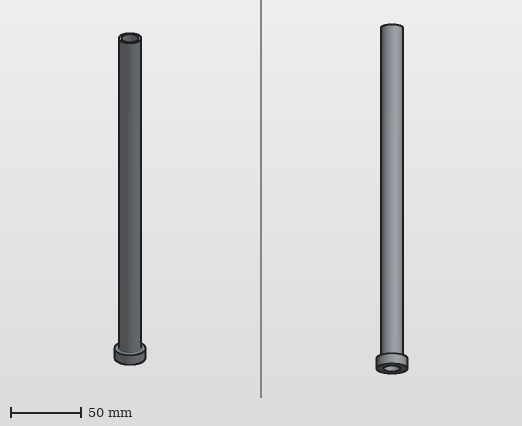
import cadquery as cq

total_length = 257.0
head_diameter = 22.0
head_height = 7.7
tube_diameter = 16.0
bore_diameter = 12.0
neck_fillet_radius = 0.8

head = cq.Workplane("XY").circle(head_diameter / 2).extrude(head_height)
tube = cq.Workplane("XY").circle(tube_diameter / 2).extrude(total_length)
sleeve = head.union(tube)

head_top = sleeve.faces("|Z").faces(cq.selectors.NearestToPointSelector((0, 0, head_height)))
neck_edge = cq.selectors.RadiusNthSelector(0)
sleeve = head_top.edges(neck_edge).fillet(neck_fillet_radius)

bore = cq.Workplane("XY").circle(bore_diameter / 2).extrude(total_length)

result = sleeve.cut(bore)